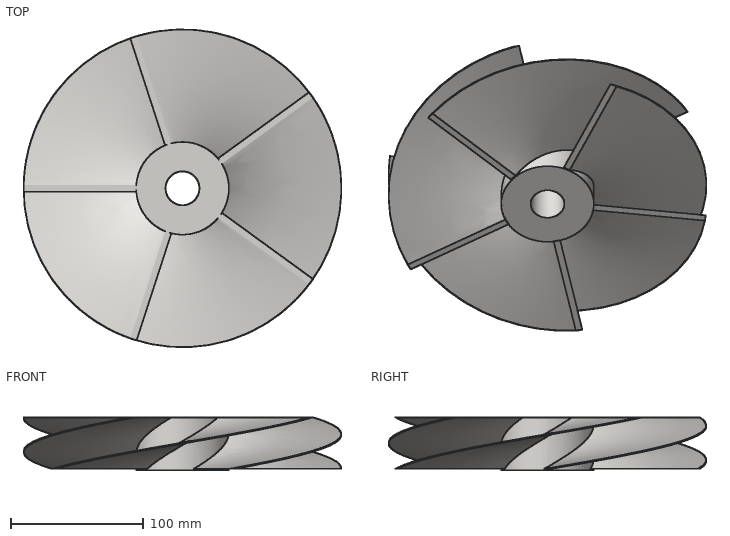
import cadquery as cq

hub_diameter = 70
hub_height = 40
bore_diameter = 25.4

rotor_diameter = 240
blade_count = 5
blade_width = 5
blade_twist = 108
blade_bottom = 1
blade_tip_allowance = 2
blade_root_radius = 25

blade_pitch_angle = 360 / blade_count
rotor_radius = rotor_diameter / 2
blade_blank_radius = rotor_radius + blade_tip_allowance
blade_height = hub_height - blade_bottom


def make_hub():
    """Plain cylinder that carries the blades."""
    return cq.Workplane("XY").circle(hub_diameter / 2).extrude(hub_height)


def make_blade():
    """Radial bar twisted about the rotor axis, its lower edge along +X."""
    blade_length = blade_blank_radius - blade_root_radius
    blade_middle_radius = (blade_blank_radius + blade_root_radius) / 2
    return (
        cq.Workplane("XY")
        .workplane(offset=blade_bottom)
        .center(blade_middle_radius, 0)
        .rect(blade_length, blade_width)
        .center(-blade_middle_radius, 0)
        .twistExtrude(blade_height, blade_twist)
    )


def make_bore():
    """Shaft hole through the hub."""
    return cq.Workplane("XY").circle(bore_diameter / 2).extrude(hub_height)


def make_rotor_envelope():
    """Cylinder that the blade tips lie on."""
    return cq.Workplane("XY").circle(rotor_radius).extrude(hub_height)


blade = make_blade().intersect(make_rotor_envelope())
result = make_hub()
for blade_index in range(blade_count):
    blade_angle = blade_index * blade_pitch_angle
    result = result.union(blade.rotate((0, 0, 0), (0, 0, 1), blade_angle))
result = result.cut(make_bore())